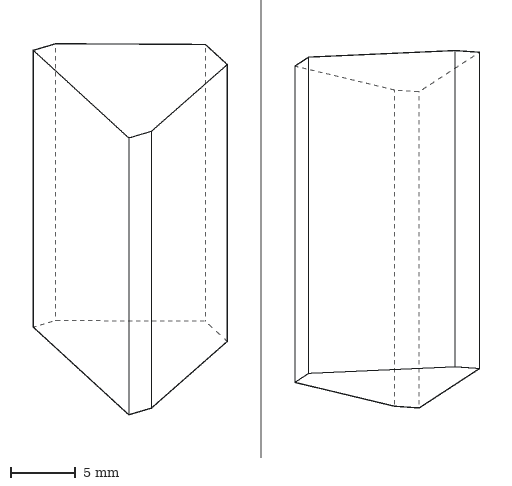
import cadquery as cq
import math

width = 15.0
depth = 12.0
height = 25.0
lip_depth = 2.0
flank_angle = 60.0

flank_inset = (depth - lip_depth) / math.tan(math.radians(flank_angle))
half_width = width / 2
half_narrow_width = half_width - flank_inset

result = (
    cq.Workplane("XY")
    .moveTo(-half_width, 0)
    .lineTo(half_width, 0)
    .lineTo(half_width, lip_depth)
    .lineTo(half_narrow_width, depth)
    .lineTo(-half_narrow_width, depth)
    .lineTo(-half_width, lip_depth)
    .close()
    .extrude(height)
)